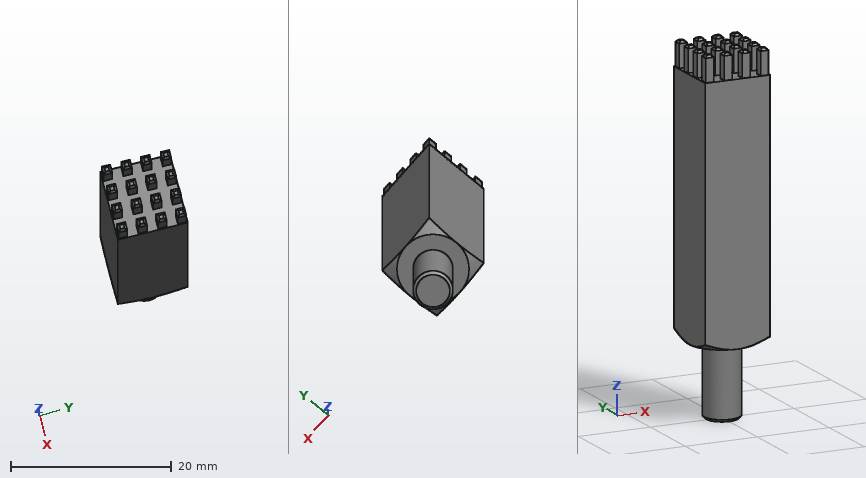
import cadquery as cq
import math

total_height = 48.5
body_width = 9.0

stem_diameter = 5.0
stem_length = 10.0
stem_chamfer = 0.4

pin_count = 4
pin_field_width = 8.75
pin_width = 1.1
pin_length = 3.5
pin_chamfer = 0.3
pin_pitch = (pin_field_width - pin_width) / (pin_count - 1)

bevel_angle = 30.0

body_height = total_height - stem_length - pin_length
body_top = stem_length + body_height


def make_stem():
    stem = cq.Workplane("XY").circle(stem_diameter / 2).extrude(stem_length)
    return stem.faces("<Z").chamfer(stem_chamfer)


def make_body():
    """Square bar whose bottom corners are trimmed by a cone."""
    bar = (
        cq.Workplane("XY")
        .workplane(offset=stem_length)
        .rect(body_width, body_width)
        .extrude(body_height)
    )
    inner_radius = body_width / 2
    outer_radius = body_width
    bevel_rise = (outer_radius - inner_radius) * math.tan(math.radians(bevel_angle))
    envelope = (
        cq.Workplane("XZ")
        .moveTo(0, stem_length)
        .lineTo(inner_radius, stem_length)
        .lineTo(outer_radius, stem_length + bevel_rise)
        .lineTo(outer_radius, body_top)
        .lineTo(0, body_top)
        .close()
        .revolve(360, (0, 0, 0), (0, 1, 0))
    )
    return bar.intersect(envelope)


def make_pins():
    """Square grid of pins with chamfered tips."""
    pins = (
        cq.Workplane("XY")
        .workplane(offset=body_top)
        .rarray(pin_pitch, pin_pitch, pin_count, pin_count)
        .rect(pin_width, pin_width)
        .extrude(pin_length)
    )
    return pins.faces(">Z").chamfer(pin_chamfer)


result = make_body().union(make_stem()).union(make_pins())